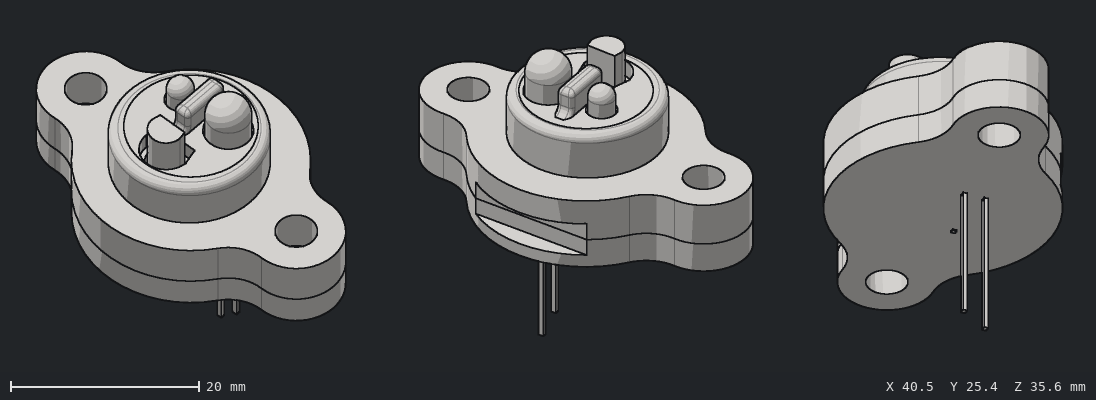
import cadquery as cq
import math

OVERALL_LENGTH = 40.45
FLANGE_RADIUS = 12.7
LUG_RADIUS = 5.25
LUG_CENTRE_X = OVERALL_LENGTH / 2 - LUG_RADIUS
NECK_RADIUS = 5.0
MOUNT_HOLE_DIAMETER = 4.5

BASE_THICKNESS = 3.5
FLANGE_THICKNESS = 4.98
HUB_HEIGHT = 5.5
FLANGE_TOP = BASE_THICKNESS + FLANGE_THICKNESS
HUB_TOP = FLANGE_TOP + HUB_HEIGHT

HUB_DIAMETER = 17.25
HUB_CENTRE_Y = -0.3
HUB_EDGE_RADIUS = 1.0
DISC_DIAMETER = 14.3
DISC_THICKNESS = 2.0
DISC_SEAT = HUB_TOP - DISC_THICKNESS

NOTCH_WALL_Y = 10.55
NOTCH_BOTTOM = 1.55
NOTCH_HEIGHT = 4.0

LARGE_LED_CENTRE = (3.3, 2.23)
LARGE_LED_DIAMETER = 5.0
LARGE_LED_HOLE_DIAMETER = 5.4
LARGE_LED_DOME_BASE = 16.43
LARGE_LEAD_SIZE = (0.6, 0.5)
LARGE_LEADS = [(1.2, -16.65), (-1.2, -15.1)]

SMALL_LED_CENTRE = (-3.35, 2.05)
SMALL_LED_DIAMETER = 3.0
SMALL_LED_HOLE_DIAMETER = 3.4
SMALL_LED_DOME_BASE = 15.65
SMALL_LEAD_SIZE = (0.5, 0.5)
SMALL_LEADS = [(0.65, -0.12)]

SENSOR_CENTRE = (0.15, -4.15)
SENSOR_TILT = -1.5
SENSOR_TOP = 17.28
SENSOR_SHAPE = (2.0, 1.0, 1.8)
SENSOR_HOLE_SHAPE = (2.25, 1.25, 1.95)
SENSOR_POCKET_SHAPE = (2.87, 1.95, 2.35)

DIVIDER_CENTRE = (-0.53, 1.95)
DIVIDER_WIDTH = 2.0
DIVIDER_LENGTH = 6.0
DIVIDER_HEIGHT = 3.07
DIVIDER_FLARE_RADIUS = 1.0
DIVIDER_END_EDGE_RADIUS = 0.5
DIVIDER_TOP_EDGE_RADIUS = 0.73


def flange_plate(bottom, thickness):
    """Round plate with two lugs, joined by concave necks, and its mounting holes."""
    main_reach = FLANGE_RADIUS + NECK_RADIUS
    lug_reach = LUG_RADIUS + NECK_RADIUS
    neck_x = (LUG_CENTRE_X**2 + main_reach**2 - lug_reach**2) / (2 * LUG_CENTRE_X)
    neck_y = math.sqrt(main_reach**2 - neck_x**2)
    main_x = neck_x * FLANGE_RADIUS / main_reach
    main_y = neck_y * FLANGE_RADIUS / main_reach
    lug_x = LUG_CENTRE_X + (neck_x - LUG_CENTRE_X) * LUG_RADIUS / lug_reach
    lug_y = neck_y * LUG_RADIUS / lug_reach
    chord_x = (main_x + lug_x) / 2 - neck_x
    chord_y = (main_y + lug_y) / 2 - neck_y
    chord_reach = math.hypot(chord_x, chord_y)
    mid_x = neck_x + chord_x * NECK_RADIUS / chord_reach
    mid_y = neck_y + chord_y * NECK_RADIUS / chord_reach

    end_x = OVERALL_LENGTH / 2
    plate = (
        cq.Workplane("XY", origin=(0, 0, bottom))
        .moveTo(-main_x, main_y)
        .threePointArc((0, FLANGE_RADIUS), (main_x, main_y))
        .threePointArc((mid_x, mid_y), (lug_x, lug_y))
        .threePointArc((end_x, 0), (lug_x, -lug_y))
        .threePointArc((mid_x, -mid_y), (main_x, -main_y))
        .threePointArc((0, -FLANGE_RADIUS), (-main_x, -main_y))
        .threePointArc((-mid_x, -mid_y), (-lug_x, -lug_y))
        .threePointArc((-end_x, 0), (-lug_x, lug_y))
        .threePointArc((-mid_x, mid_y), (-main_x, main_y))
        .close()
        .extrude(thickness)
    )
    lug_centres = [(-LUG_CENTRE_X, 0), (LUG_CENTRE_X, 0)]
    holes = (
        cq.Workplane("XY", origin=(0, 0, bottom))
        .pushPoints(lug_centres)
        .circle(MOUNT_HOLE_DIAMETER / 2)
        .extrude(thickness)
    )
    return plate.cut(holes)


def cylinder(centre, diameter, bottom, top):
    """Upright cylinder between two heights."""
    return cq.Workplane("XY", origin=(*centre, bottom)).circle(diameter / 2).extrude(top - bottom)


def d_prism(shape, bottom, top):
    """Upright prism at the sensor: a half circle closed by two tapering sides and a flat."""
    radius, flat_distance, flat_half_width = shape
    return (
        cq.Workplane("XY", origin=(*SENSOR_CENTRE, bottom))
        .transformed(rotate=(0, 0, SENSOR_TILT))
        .moveTo(-radius, 0)
        .threePointArc((0, -radius), (radius, 0))
        .lineTo(flat_half_width, flat_distance)
        .lineTo(-flat_half_width, flat_distance)
        .close()
        .extrude(top - bottom)
    )


def cable_notch():
    """Block that opens the +Y edge over its full width."""
    notch_depth = FLANGE_RADIUS - NOTCH_WALL_Y
    return cq.Workplane("XY", origin=(0, NOTCH_WALL_Y, NOTCH_BOTTOM)).box(
        2 * FLANGE_RADIUS, notch_depth, NOTCH_HEIGHT, centered=(True, False, False)
    )


def led_leads(centre, lead_size, leads):
    """Rectangular leads that hang from the top of the base."""
    pins = cq.Workplane("XY")
    for offset_y, tip in leads:
        pin = (
            cq.Workplane("XY", origin=(centre[0], centre[1] + offset_y, tip))
            .rect(*lead_size)
            .extrude(BASE_THICKNESS - tip)
        )
        pins = pins.add(pin)
    return pins.combine()


def component_holes(bottom, top):
    """Clearance holes for the two LEDs."""
    large = cylinder(LARGE_LED_CENTRE, LARGE_LED_HOLE_DIAMETER, bottom, top)
    small = cylinder(SMALL_LED_CENTRE, SMALL_LED_HOLE_DIAMETER, bottom, top)
    return large.add(small).combine()


def make_base():
    """Lower plate, with matching holes for the LED leads."""
    return (
        flange_plate(0, BASE_THICKNESS)
        .cut(cable_notch())
        .cut(led_leads(LARGE_LED_CENTRE, LARGE_LEAD_SIZE, LARGE_LEADS))
        .cut(led_leads(SMALL_LED_CENTRE, SMALL_LEAD_SIZE, SMALL_LEADS))
    )


def make_housing():
    """Upper plate with its rounded hub, recessed for the disc and bored for the components."""
    hub = cylinder((0, HUB_CENTRE_Y), HUB_DIAMETER, BASE_THICKNESS, HUB_TOP)
    hub = hub.faces(">Z").edges().fillet(HUB_EDGE_RADIUS)
    return (
        flange_plate(BASE_THICKNESS, FLANGE_THICKNESS)
        .union(hub)
        .cut(cable_notch())
        .cut(cylinder((0, 0), DISC_DIAMETER, DISC_SEAT, HUB_TOP))
        .cut(component_holes(BASE_THICKNESS, DISC_SEAT))
        .cut(d_prism(SENSOR_HOLE_SHAPE, BASE_THICKNESS, DISC_SEAT))
    )


def make_disc():
    """Disc flush with the hub top, with the LED holes and the sensor pocket through it."""
    return (
        cylinder((0, 0), DISC_DIAMETER, DISC_SEAT, HUB_TOP)
        .cut(component_holes(DISC_SEAT, HUB_TOP))
        .cut(d_prism(SENSOR_POCKET_SHAPE, DISC_SEAT, HUB_TOP))
    )


def make_led(centre, diameter, dome_base, lead_size, leads):
    """Round-nosed LED that stands on the base, with its leads."""
    dome = cq.Workplane("XY", origin=(*centre, dome_base)).sphere(diameter / 2)
    return (
        cylinder(centre, diameter, BASE_THICKNESS, dome_base)
        .union(dome)
        .union(led_leads(centre, lead_size, leads))
    )


def make_sensor():
    """D-shaped sensor that stands on the base."""
    return d_prism(SENSOR_SHAPE, BASE_THICKNESS, SENSOR_TOP)


def make_divider():
    """Narrow wall on the disc, flared at the foot of both ends and rounded on its edges."""
    half_length = DIVIDER_LENGTH / 2
    flare = DIVIDER_FLARE_RADIUS
    foot = half_length + flare
    arc_inset = flare * (1 - math.sqrt(0.5))
    trim_length = foot + DIVIDER_WIDTH
    trim_depth = DIVIDER_WIDTH
    wall = (
        cq.Workplane("YZ", origin=(DIVIDER_CENTRE[0], DIVIDER_CENTRE[1], HUB_TOP))
        .moveTo(-trim_length, -trim_depth)
        .lineTo(-trim_length, 0)
        .lineTo(-foot, 0)
        .threePointArc((-half_length - arc_inset, arc_inset), (-half_length, flare))
        .lineTo(-half_length, DIVIDER_HEIGHT)
        .lineTo(half_length, DIVIDER_HEIGHT)
        .lineTo(half_length, flare)
        .threePointArc((half_length + arc_inset, arc_inset), (foot, 0))
        .lineTo(trim_length, 0)
        .lineTo(trim_length, -trim_depth)
        .close()
        .extrude(DIVIDER_WIDTH / 2, both=True)
    )
    wall = wall.edges("|Z").edges(">Z").fillet(DIVIDER_END_EDGE_RADIUS)
    wall = wall.faces(">Z").edges().fillet(DIVIDER_TOP_EDGE_RADIUS)
    above_disc = cq.Workplane("XY", origin=(*DIVIDER_CENTRE, HUB_TOP)).box(
        DIVIDER_WIDTH, 2 * foot, DIVIDER_HEIGHT, centered=(True, True, False)
    )
    return wall.intersect(above_disc)


base = make_base()
housing = make_housing()
disc = make_disc()
large_led = make_led(
    LARGE_LED_CENTRE, LARGE_LED_DIAMETER, LARGE_LED_DOME_BASE, LARGE_LEAD_SIZE, LARGE_LEADS
)
small_led = make_led(
    SMALL_LED_CENTRE, SMALL_LED_DIAMETER, SMALL_LED_DOME_BASE, SMALL_LEAD_SIZE, SMALL_LEADS
)
sensor = make_sensor()
divider = make_divider()

result = cq.Compound.makeCompound(
    [
        base.val(),
        housing.val(),
        disc.val(),
        large_led.val(),
        small_led.val(),
        sensor.val(),
        divider.val(),
    ]
)